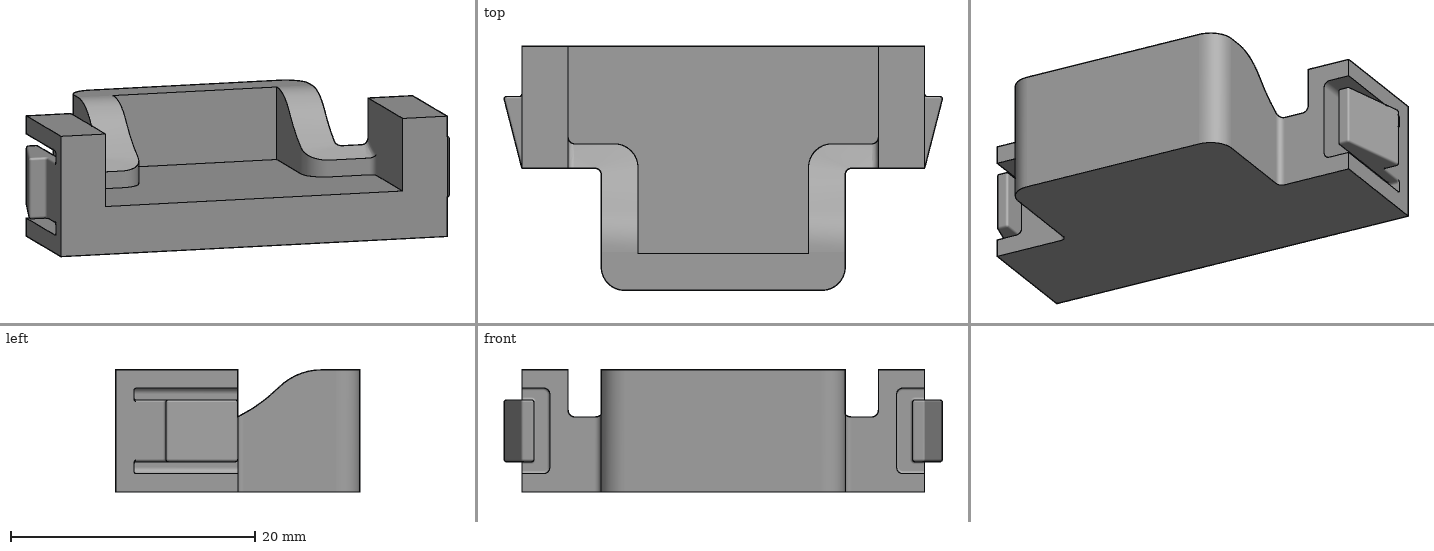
import cadquery as cq
import math

CATCH_SPAN = 36.0
HEIGHT = 10.0
DEPTH = 20.0

BLOCK_SPAN = 33.0
BLOCK_GAP = 25.37
BLOCK_DEPTH = DEPTH / 2
NOSE_WIDTH = 20.0
NOSE_CORNER_RADIUS = 1.95

FLOOR_HEIGHT = 4.0
SIDE_WALL = 3.0
SHOULDER_WALL = 2.0
FRONT_WALL = 3.0
TRAY_CORNER_RADIUS = 1.95
INSIDE_RADIUS = 0.5

CURVE_START = 3.12
CREST_RADIUS = 5.0
DIP_RADIUS = 12.55
CURVE_SLOPE = math.radians(45)

RECESS_HEIGHT = 7.0
RECESS_REACH = 2.3
RECESS_LENGTH = 8.5
RECESS_EDGE_RADIUS = 0.5
RECESS_END_RADIUS = 0.2
FINGER_HEIGHT = 5.05
FINGER_THICKNESS = 1.0
FINGER_RADIUS = 0.2
RAMP_LENGTH = 5.9

MARGIN = 0.018

BLOCK_FRONT = DEPTH - BLOCK_DEPTH
BLOCK_SIDE = BLOCK_SPAN / 2
MID_HEIGHT = HEIGHT / 2
SHOULDER_BACK = BLOCK_FRONT + SHOULDER_WALL
CHANNEL_SIDE = NOSE_WIDTH / 2 - SIDE_WALL
FINGER_ROOT = BLOCK_FRONT + RECESS_LENGTH
FINGER_INNER = -BLOCK_SIDE + FINGER_THICKNESS


def box_between(low, high):
    """Box spanning two opposite corners."""
    size = [b - a for a, b in zip(low, high)]
    return cq.Workplane("XY").box(*size, centered=False).translate(low)


def vertical_edges_at(body, x, y):
    """Vertical edges of the body that stand at (x, y) and (-x, y)."""
    corners = None
    for side_x in (x, -x):
        around = cq.selectors.BoxSelector(
            (side_x - MARGIN, y - MARGIN, -MARGIN),
            (side_x + MARGIN, y + MARGIN, HEIGHT + MARGIN),
        )
        corners = body.edges(around) if corners is None else corners.add(body.edges(around))
    return corners


def outer_block():
    """T-shaped outer block: wide back part and a narrower nose with rounded corners."""
    back = box_between((-BLOCK_SIDE, BLOCK_FRONT, 0), (BLOCK_SIDE, DEPTH, HEIGHT))
    nose = box_between((-NOSE_WIDTH / 2, 0, 0), (NOSE_WIDTH / 2, DEPTH, HEIGHT))
    body = back.union(nose)
    body = vertical_edges_at(body, NOSE_WIDTH / 2, 0).fillet(NOSE_CORNER_RADIUS)
    return vertical_edges_at(body, NOSE_WIDTH / 2, BLOCK_FRONT).fillet(INSIDE_RADIUS)


def tray_cavity():
    """T-shaped cavity above the floor, open at the top and the back."""
    wide = box_between((-BLOCK_GAP / 2, SHOULDER_BACK, FLOOR_HEIGHT), (BLOCK_GAP / 2, DEPTH, HEIGHT))
    channel = box_between((-CHANNEL_SIDE, FRONT_WALL, FLOOR_HEIGHT), (CHANNEL_SIDE, DEPTH, HEIGHT))
    cavity = wide.union(channel)
    cavity = vertical_edges_at(cavity, CHANNEL_SIDE, SHOULDER_BACK).fillet(TRAY_CORNER_RADIUS)
    return vertical_edges_at(cavity, BLOCK_GAP / 2, SHOULDER_BACK).fillet(INSIDE_RADIUS)


def wall_top_cut():
    """Material above the S-curve, taken off the side walls between the end blocks."""
    def on_arc(centre, radius, angle):
        return (centre[0] + radius * math.sin(angle), centre[1] + radius * math.cos(angle))

    crest_centre = (CURVE_START, HEIGHT - CREST_RADIUS)
    join = on_arc(crest_centre, CREST_RADIUS, CURVE_SLOPE)
    dip_centre = on_arc(crest_centre, CREST_RADIUS + DIP_RADIUS, CURVE_SLOPE)
    dip_bottom = (dip_centre[0], dip_centre[1] - DIP_RADIUS)
    cut = (
        cq.Workplane("YZ")
        .moveTo(CURVE_START, HEIGHT)
        .threePointArc(on_arc(crest_centre, CREST_RADIUS, CURVE_SLOPE / 2), join)
        .threePointArc(on_arc(dip_centre, -DIP_RADIUS, CURVE_SLOPE / 2), dip_bottom)
        .lineTo(dip_bottom[0], HEIGHT)
        .close()
        .extrude(BLOCK_GAP / 2, both=True)
    )
    dip_ends = cq.selectors.BoxSelector(
        (-BLOCK_GAP, join[0] + MARGIN, 0),
        (BLOCK_GAP, dip_bottom[0] - MARGIN, join[1]),
    )
    return cut.faces("<X or >X").edges(dip_ends).fillet(INSIDE_RADIUS)


def side_recess():
    """Recess in the outer side of the -X end block, open to the front."""
    recess = box_between(
        (-BLOCK_SIDE - RECESS_REACH, BLOCK_FRONT - RECESS_LENGTH, MID_HEIGHT - RECESS_HEIGHT / 2),
        (-BLOCK_SIDE + RECESS_REACH, BLOCK_FRONT + RECESS_LENGTH, MID_HEIGHT + RECESS_HEIGHT / 2),
    )
    recess = recess.faces(">X").edges("|Y").fillet(RECESS_EDGE_RADIUS)
    return recess.faces(">Y").edges().fillet(RECESS_END_RADIUS)


def latch_finger():
    """Springy finger of the -X end block: a flat strip with a ramp that ends in a catch."""
    catch = BLOCK_FRONT + RAMP_LENGTH
    finger = (
        cq.Workplane("XY", origin=(0, 0, MID_HEIGHT - FINGER_HEIGHT / 2))
        .polyline([
            (-BLOCK_SIDE, BLOCK_FRONT),
            (FINGER_INNER, BLOCK_FRONT),
            (FINGER_INNER, FINGER_ROOT),
            (-BLOCK_SIDE, FINGER_ROOT),
            (-BLOCK_SIDE, catch),
            (-CATCH_SPAN / 2, catch),
        ])
        .close()
        .extrude(FINGER_HEIGHT)
    )
    return finger.edges("not >Y").fillet(FINGER_RADIUS)


def finger_gap():
    """Empty space around the latch finger, with the root of the finger flared into the recess end."""
    gap = side_recess().cut(latch_finger())
    half_height = FINGER_HEIGHT / 2 + MARGIN
    around_root = cq.selectors.BoxSelector(
        (-BLOCK_SIDE + MARGIN, FINGER_ROOT - MARGIN, MID_HEIGHT - half_height),
        (FINGER_INNER + MARGIN, FINGER_ROOT + MARGIN, MID_HEIGHT + half_height),
    )
    return gap.edges(around_root).fillet(FINGER_RADIUS)


def housing_body():
    """Housing with a latch finger cut free in each end block."""
    body = outer_block().cut(tray_cavity()).cut(wall_top_cut())
    gap = finger_gap()
    finger = latch_finger()
    body = body.cut(gap).cut(gap.mirror("YZ"))
    return body.union(finger).union(finger.mirror("YZ"))


housing = housing_body()
result = cq.Compound.makeCompound([housing.val()])